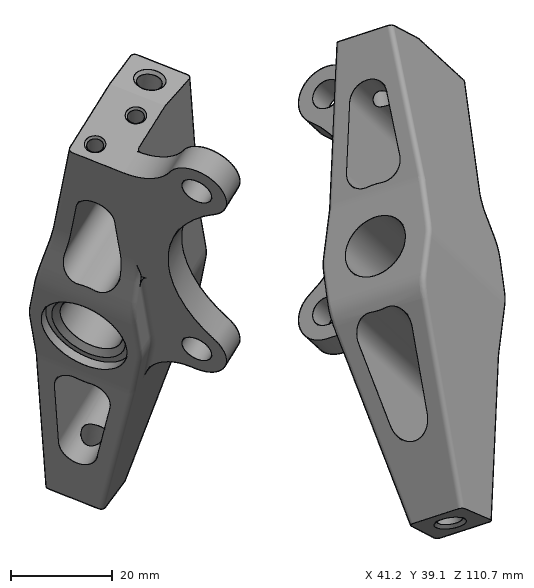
import cadquery as cq
import math

hub_radius = 12.4
side_angle = math.radians(7.25)
end_height = 50.4

hub_depth = 29.8
plate_front = 5.0
step_top = 20.8
step_bottom = 12.4
top_rear = (34.4, 47.4)
top_break = (23.5, end_height)
foot_front = (-4.7, -47.3)
foot_rear = (6.6, -end_height)
bend_radius = 10.0
edge_radius = 1.0

plate_thickness = 6.0
lug_x = 22.3
lug_radius = 6.5
lug_hole_diameter = 6.5
lug_heights = (53.8, 2.9)
top_web_radius = 11.3
low_web_radius = 10.0
scallop_radius = 25.1

wall = 4.0
window_end = 37.2
window_corner_radius = 4.0
window_hub_radius = 14.4
bore_radius = 6.9
bore_chamfer = 1.2
recess_radius = 9.4
recess_depth = 2.0
end_hole_radius = 2.5
end_hole_depth = 13.3
end_hole_countersink = 0.7
top_hole_radius = 1.7
top_hole_depth = 10.0
top_hole_countersink = 0.4
top_hole_places = ((2.0, 18.8), (-2.0, 8.9))
drill_point_angle = math.radians(118)

far = 110.7
pick_margin = 0.1


def side_x(z, inset=0.0):
    """Distance from the centre plane to the straight side at height z, moved inward by inset."""
    return (hub_radius - inset - abs(z) * math.sin(side_angle)) / math.cos(side_angle)


def along(start, end, distance):
    """Point at a distance from start, on the way to end."""
    scale = distance / math.dist(start, end)
    return tuple(a + (b - a) * scale for a, b in zip(start, end))


def arc_middle(centre, start, end, radius):
    """Middle point of the arc between start and end."""
    chord_middle = ((start[0] + end[0]) / 2, (start[1] + end[1]) / 2)
    return along(centre, chord_middle, radius)


def polar(centre, radius, angle):
    """Point at a radius and angle from a centre."""
    return centre[0] + radius * math.cos(angle), centre[1] + radius * math.sin(angle)


def extrude_y(sketch, y_start, y_end):
    """Solid from a sketch on the XZ plane, spanning y_start to y_end."""
    return sketch.extrude(y_start - y_end).translate((0, y_start, 0))


def make_slab():
    """Side profile of the body, wider than the finished part."""
    bends = [
        (plate_front, step_top),
        (0, step_bottom),
        (0, -hub_radius),
        (hub_depth, -hub_radius),
        (hub_depth, hub_radius),
    ]
    front_bends = bends[:3]
    rear_bends = bends[3:]
    profile = [
        (plate_front, end_height),
        *front_bends,
        foot_front,
        foot_rear,
        *rear_bends,
        top_rear,
        top_break,
    ]
    slab = cq.Workplane("YZ").polyline(profile).close().extrude(hub_radius * 2, both=True)
    for y, z in bends:
        near = cq.selectors.BoxSelector(
            (-far, y - pick_margin, z - pick_margin),
            (far, y + pick_margin, z + pick_margin),
        )
        slab = slab.edges(near).fillet(bend_radius)
    return slab


def make_body():
    """Side profile trimmed to the tapered outline, with its long edges rounded."""
    outer = end_height + edge_radius
    tangent_x, tangent_z = polar((0, 0), hub_radius, side_angle)
    outline = (
        cq.Workplane("XZ")
        .moveTo(-side_x(outer), outer)
        .lineTo(side_x(outer), outer)
        .lineTo(tangent_x, tangent_z)
        .threePointArc((hub_radius, 0), (tangent_x, -tangent_z))
        .lineTo(side_x(outer), -outer)
        .lineTo(-side_x(outer), -outer)
        .lineTo(-tangent_x, -tangent_z)
        .threePointArc((-hub_radius, 0), (-tangent_x, tangent_z))
        .close()
    )
    body = make_slab().intersect(extrude_y(outline, -far, far))

    def is_long_edge(edge):
        rise = edge.endPoint() - edge.startPoint()
        return abs(rise.z) > abs(rise.y)

    long_edges = [edge for edge in body.edges().vals() if is_long_edge(edge)]
    return body.newObject(long_edges).fillet(edge_radius)


def make_plate(y_start, y_end):
    """Plate with two lugs, reaching from the centre of the body to the lugs."""
    top_lug = (lug_x, lug_heights[0])
    low_lug = (lug_x, lug_heights[1])
    web_z = end_height + top_web_radius
    reach = lug_radius + top_web_radius
    web = (lug_x - math.sqrt(reach**2 - (web_z - top_lug[1]) ** 2), web_z)
    web_end = along(web, top_lug, top_web_radius)
    web_corner = (web[0], end_height)
    web_middle = arc_middle(web, web_corner, web_end, top_web_radius)
    middle_z = sum(lug_heights) / 2
    half_gap = (lug_heights[0] - lug_heights[1]) / 2
    scallop_x = lug_x + math.sqrt((scallop_radius + lug_radius) ** 2 - half_gap**2)
    scallop = (scallop_x, middle_z)
    base_z = low_lug[1] - lug_radius
    low_web = (side_x(base_z - low_web_radius, -low_web_radius), base_z - low_web_radius)
    low_end = polar(low_web, low_web_radius, math.pi - side_angle)
    low_start = (low_web[0], base_z)
    low_middle = arc_middle(low_web, low_start, low_end, low_web_radius)

    outline = (
        cq.Workplane("XZ")
        .moveTo(0, end_height)
        .lineTo(*web_corner)
        .threePointArc(web_middle, web_end)
        .threePointArc(along(top_lug, (far, far), lug_radius), along(top_lug, scallop, lug_radius))
        .threePointArc((scallop_x - scallop_radius, middle_z), along(low_lug, scallop, lug_radius))
        .threePointArc(along(low_lug, (far, -far), lug_radius), (lug_x, base_z))
        .lineTo(*low_start)
        .threePointArc(low_middle, low_end)
        .lineTo(0, low_end[1])
        .close()
    )
    return extrude_y(outline, y_start, y_end)


def make_junction_fillet(plate_face, y_sense):
    """Concave fillet along the body side, on the plate face that looks toward y_sense."""
    top = (side_x(end_height), end_height)
    bottom = (side_x(-end_height), -end_height)
    tangent_x, tangent_z = polar((0, 0), hub_radius, side_angle)
    path = (
        cq.Workplane("XZ", origin=(0, plate_face, 0))
        .moveTo(*top)
        .lineTo(tangent_x, tangent_z)
        .threePointArc((hub_radius, 0), (tangent_x, -tangent_z))
        .lineTo(*bottom)
    )
    down = (math.sin(side_angle), 0, -math.cos(side_angle))
    outward = (math.cos(side_angle), 0, math.sin(side_angle))
    section_plane = cq.Plane(origin=(top[0], plate_face, top[1]), xDir=outward, normal=down)
    rise = y_sense * section_plane.yDir.y * edge_radius
    middle_share = 1 - math.cos(math.pi / 4)
    middle = (edge_radius * middle_share, rise * middle_share)
    strip = (
        cq.Workplane(section_plane)
        .lineTo(edge_radius, 0)
        .threePointArc(middle, (0, rise))
        .close()
        .sweep(path)
    )
    body_side = make_slab().translate((0, edge_radius, 0))
    return strip.intersect(make_plate(-far, far)).intersect(body_side)


def make_window():
    """Tapered through window above the bore."""
    half_width = hub_radius - wall
    end_z = (window_end - half_width) / (1 - math.sin(side_angle))
    end_radius = window_end - end_z
    corner_reach = window_hub_radius + window_corner_radius
    corner_angle = side_angle + math.acos((half_width - window_corner_radius) / corner_reach)
    corner = polar((0, 0), corner_reach, corner_angle)
    end_x, end_side_z = polar((0, end_z), end_radius, side_angle)
    wall_x, wall_z = polar(corner, window_corner_radius, side_angle)
    middle_x, middle_z = polar(corner, window_corner_radius, (side_angle + corner_angle - math.pi) / 2)
    hub_x, hub_z = polar((0, 0), window_hub_radius, corner_angle)
    outline = (
        cq.Workplane("XZ")
        .moveTo(end_x, end_side_z)
        .threePointArc((0, window_end), (-end_x, end_side_z))
        .lineTo(-wall_x, wall_z)
        .threePointArc((-middle_x, middle_z), (-hub_x, hub_z))
        .threePointArc((0, window_hub_radius), (hub_x, hub_z))
        .threePointArc((middle_x, middle_z), (wall_x, wall_z))
        .close()
    )
    return extrude_y(outline, -far, far)


def revolved_cut(profile, mouth, inward):
    """Round cut along inward from mouth; profile holds (depth, radius) points and ends on the axis."""
    plane = cq.Plane(origin=mouth, xDir=inward, normal=(1, 0, 0))
    return cq.Workplane(plane).polyline([(0, 0), *profile]).close().revolve(360, (0, 0), (1, 0))


def tapped_hole(mouth, inward, radius, depth, countersink):
    """Countersunk blind hole with a drill point."""
    point_depth = radius / math.tan(drill_point_angle / 2)
    profile = [
        (0, radius + countersink),
        (countersink, radius),
        (depth, radius),
        (depth + point_depth, 0),
    ]
    return revolved_cut(profile, mouth, inward)


def end_hole(edge_a, edge_b, z_sense):
    """Tapped hole square to a sloped end face, centred between its two long edges (y, z)."""
    slope = (edge_b[1] - edge_a[1]) / (edge_b[0] - edge_a[0])
    mouth = (0, (edge_a[0] + edge_b[0]) / 2, (edge_a[1] + edge_b[1]) / 2)
    inward = (0, -z_sense * slope, z_sense)
    return tapped_hole(mouth, inward, end_hole_radius, end_hole_depth, end_hole_countersink)


def make_bore():
    """Through bore with a chamfer and a shallow recess in the hub front face."""
    profile = [
        (0, recess_radius),
        (recess_depth, recess_radius),
        (recess_depth, bore_radius + bore_chamfer),
        (recess_depth + bore_chamfer, bore_radius),
        (hub_depth, bore_radius),
        (hub_depth, 0),
    ]
    return revolved_cut(profile, (0, 0, 0), (0, 1, 0))


plate_back = plate_front + plate_thickness
result = make_body().union(make_plate(plate_front, plate_back))
result = result.union(make_junction_fillet(plate_front, -1))
result = result.union(make_junction_fillet(plate_back, 1))

window = make_window()
result = result.cut(window).cut(window.mirror("XY")).cut(make_bore())

result = result.cut(end_hole(top_rear, top_break, -1))
result = result.cut(end_hole(foot_front, foot_rear, 1))
for x, y in top_hole_places:
    mouth = (x, y, end_height)
    hole = tapped_hole(mouth, (0, 0, -1), top_hole_radius, top_hole_depth, top_hole_countersink)
    result = result.cut(hole)

for z in lug_heights:
    lug_hole = cq.Workplane("XZ").center(lug_x, z).circle(lug_hole_diameter / 2)
    result = result.cut(extrude_y(lug_hole, -far, far))